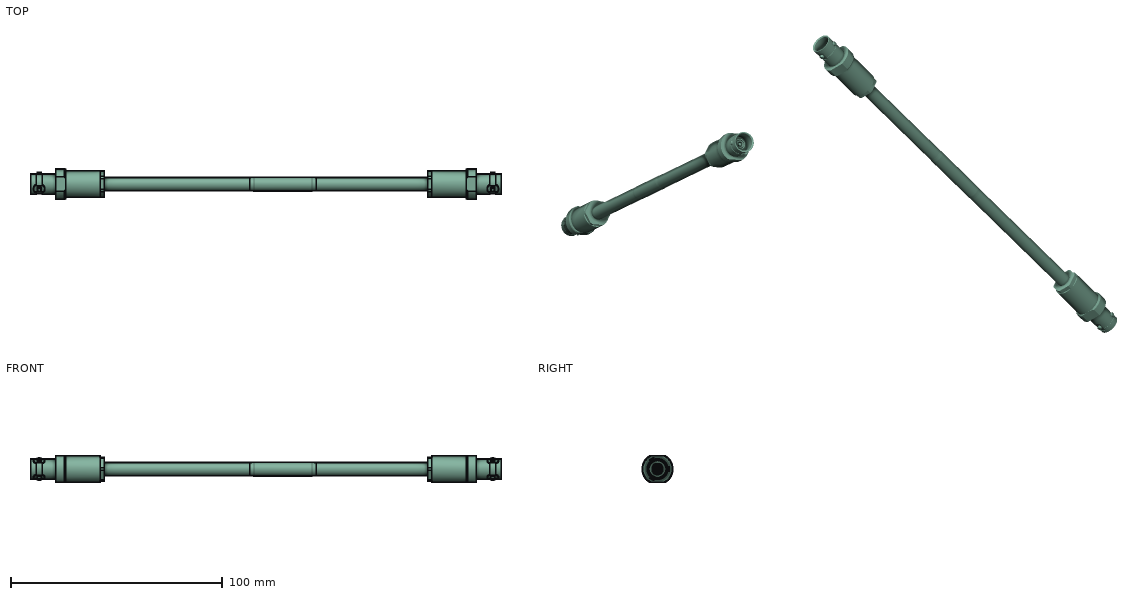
import cadquery as cq
import math

overall_length = 222.76
half_length = overall_length / 2

cable_diameter = 6.4
label_diameter = 6.6
label_length = 31.5
label_centre_x = 8.0
label_taper_length = 2.0

barrel_diameter = 9.7
flange_start = 11.8
flange_end = 16.6
flange_diameter = 14.45
flange_across_flats = 12.7
flange_chamfer_length = 0.6
flange_chamfer_depth = 0.3
bore_diameter = 8.2
bore_chamfer = 0.35
bore_depth = 11.0

lug_position = 4.05
groove_width = 2.7
groove_depth = 0.15

lug_diameter = 2.0
lug_tip_radius = 5.5
seat_diameter = 5.4
seat_radius = 4.4
lug_embedding = 0.2
lug_root_radius = seat_radius - lug_embedding
lug_angles = [0, 120, 240]
seated_lug_angles = [120, 240]

clamp_end = 34.9
hex_length = 2.0
hex_start = clamp_end - hex_length
clamp_diameter = 12.7
hex_across_flats = 11.4
hex_round_diameter = 12.5

insert_base_length = 3.0
insert_face = bore_depth - insert_base_length
contact_tip = 5.5
contact_tubes = [(5.2, 4.4), (3.6, 2.8)]
pin_diameter = 1.2


def rod(start, end, diameter):
    """Solid cylinder along X between two positions."""
    return cq.Workplane("YZ").workplane(offset=start).circle(diameter / 2).extrude(end - start)


def radial_rod(angle, inner_radius, outer_radius, diameter):
    """Cylinder across the barrel at the lug position; angle 0 points along +Y."""
    return (
        cq.Workplane("XZ", origin=(lug_position, inner_radius, 0))
        .circle(diameter / 2)
        .extrude(inner_radius - outer_radius)
        .rotate((0, 0, 0), (1, 0, 0), angle)
    )


def make_housing():
    """Barrel with groove and bayonet lugs, and a flange with two wrench flats."""
    barrel = rod(0, flange_start, barrel_diameter)
    groove_start = lug_position - groove_width / 2
    groove_end = lug_position + groove_width / 2
    groove_floor = rod(groove_start, groove_end, barrel_diameter - 2 * groove_depth)
    groove = rod(groove_start, groove_end, flange_diameter).cut(groove_floor)
    barrel = barrel.cut(groove)
    for angle in seated_lug_angles:
        barrel = barrel.cut(radial_rod(angle, seat_radius, flange_diameter, seat_diameter))
    for angle in lug_angles:
        barrel = barrel.union(radial_rod(angle, lug_root_radius, lug_tip_radius, lug_diameter))
    flange = (
        rod(flange_start, flange_end, flange_diameter)
        .faces(">X")
        .chamfer(flange_chamfer_length, flange_chamfer_depth)
    )
    flats = cq.Workplane("XY").box(overall_length, overall_length, flange_across_flats)
    bore = rod(0, bore_depth, bore_diameter)
    mouth = cq.Workplane("XY").add(
        cq.Solid.makeCone(
            bore_diameter / 2 + bore_chamfer,
            bore_diameter / 2,
            bore_chamfer,
            dir=cq.Vector(1, 0, 0),
        )
    )
    cable_hole = rod(bore_depth, flange_end, cable_diameter)
    return barrel.union(flange.intersect(flats)).cut(bore).cut(mouth).cut(cable_hole)


def make_clamp_nut():
    """Sleeve ending in a hexagon whose corners are turned down to a circle."""
    sleeve = rod(flange_end, hex_start, clamp_diameter)
    hexagon = (
        cq.Workplane("YZ")
        .workplane(offset=hex_start)
        .polygon(6, hex_across_flats / math.cos(math.pi / 6))
        .extrude(hex_length)
        .intersect(rod(hex_start, clamp_end, hex_round_diameter))
    )
    return sleeve.union(hexagon).cut(rod(flange_end, clamp_end, cable_diameter))


def make_insert():
    """Base disc filling the bottom of the bore, carrying the contacts."""
    insert = rod(insert_face, bore_depth, bore_diameter)
    for outer_diameter, inner_diameter in contact_tubes:
        tube = rod(contact_tip, insert_face, outer_diameter)
        tube_bore = rod(contact_tip, insert_face, inner_diameter)
        insert = insert.union(tube.cut(tube_bore))
    return insert.union(rod(contact_tip, insert_face, pin_diameter))


def make_label():
    """Thin sleeve round the cable, tapering down to it at both ends."""
    cable_radius = cable_diameter / 2
    label_radius = label_diameter / 2
    start = label_centre_x - label_length / 2
    end = label_centre_x + label_length / 2
    return (
        cq.Workplane("XY")
        .moveTo(start, cable_radius)
        .lineTo(start + label_taper_length, label_radius)
        .lineTo(end - label_taper_length, label_radius)
        .lineTo(end, cable_radius)
        .close()
        .revolve(360, (0, 0, 0), (1, 0, 0))
    )


cable_half_length = half_length - bore_depth
cable = rod(-cable_half_length, cable_half_length, cable_diameter)
label = make_label()

connector_solids = []
for make_body in (make_housing, make_clamp_nut, make_insert):
    left_body = make_body().translate((-half_length, 0, 0))
    right_body = left_body.mirror("YZ")
    connector_solids += [left_body.val(), right_body.val()]

result = cq.Compound.makeCompound([cable.val(), label.val(), *connector_solids])